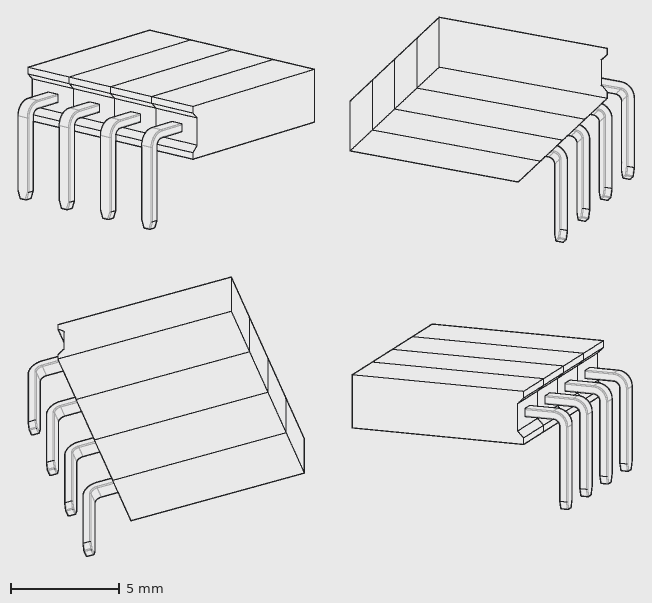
import cadquery as cq
import math


module_count = 4
pitch = 2.539
block_height = pitch
block_length = 8.5

lip_height = 0.32
groove_depth = 0.3

overall_length = 10.3
overall_height = 5.74
pin_width = 0.66
pin_thickness = 0.4
pin_edge_radius = 0.05
bend_inner_radius = 0.3
tip_length = 0.4
tip_width = 0.37

pin_axis_z = block_height / 2
pin_bottom_z = block_height - overall_height
pin_reach = overall_length - block_length
leg_axis_y = pin_thickness / 2 - pin_reach
bend_radius = bend_inner_radius + pin_thickness / 2
tip_start_z = pin_bottom_z + tip_length


def make_block(center_x):
    """Block with a trapezoidal groove in its pin-side end face."""
    groove_bottom_z = lip_height + groove_depth
    profile = (
        cq.Workplane("YZ", origin=(center_x, 0, 0))
        .moveTo(block_length, 0)
        .lineTo(block_length, block_height)
        .lineTo(0, block_height)
        .lineTo(0, block_height - lip_height)
        .lineTo(groove_depth, block_height - groove_bottom_z)
        .lineTo(groove_depth, groove_bottom_z)
        .lineTo(0, lip_height)
        .lineTo(0, 0)
        .close()
    )
    return profile.extrude(pitch / 2, both=True)


def rounded_section(width):
    """Pin cross-section: a rectangle with rounded corners."""
    return cq.Sketch().rect(width, pin_thickness).vertices().fillet(pin_edge_radius)


def make_pin(center_x):
    """Pin running out of the groove floor, bending down and ending in a tapered tip."""
    bend_center_y = leg_axis_y + bend_radius
    bend_center_z = pin_axis_z - bend_radius
    bend_offset = bend_radius * math.sqrt(0.5)
    path = (
        cq.Workplane("YZ", origin=(center_x, 0, 0))
        .moveTo(groove_depth, pin_axis_z)
        .lineTo(bend_center_y, pin_axis_z)
        .threePointArc(
            (bend_center_y - bend_offset, bend_center_z + bend_offset),
            (leg_axis_y, bend_center_z),
        )
        .lineTo(leg_axis_y, tip_start_z)
    )
    bar = (
        cq.Workplane("XZ", origin=(center_x, groove_depth, pin_axis_z))
        .placeSketch(rounded_section(pin_width))
        .sweep(path)
    )
    tip = (
        cq.Workplane("XY", origin=(center_x, leg_axis_y, tip_start_z))
        .placeSketch(
            rounded_section(pin_width),
            rounded_section(tip_width).moved(cq.Location(cq.Vector(0, 0, -tip_length))),
        )
        .loft()
        .faces("<Z")
        .fillet(pin_edge_radius)
    )
    return bar.union(tip)


def make_module(center_x):
    """One connector module: block and pin as a single solid."""
    return make_block(center_x).union(make_pin(center_x))


first_module_x = -pitch * (module_count - 1) / 2
modules = []
for index in range(module_count):
    module = make_module(first_module_x + index * pitch)
    modules.append(module.val())

result = cq.Compound.makeCompound(modules)